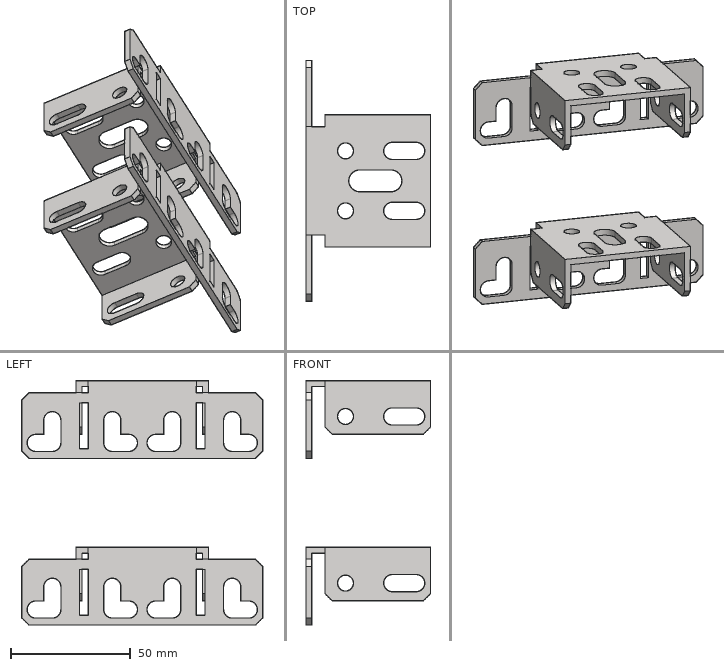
import cadquery as cq

total_height = 102.1
depth = 52.0
plate_width = 100.5
bracket_height = 32.6
sheet = 2.6
corner = 3.1

web_width = 55.3
neck_width = 45.2
flange_start = 8.0
flange_height = 22.5

wing_drop = 5.0
relief_width = 3.5
relief_top = 9.3
relief_bottom = 28.4

key_width = 7.0
key_spacing = 25.0
key_top = 16.5
key_elbow = 26.0
key_reach = 6.9

hole_diameter = 6.5
hole_x = 16.5
slot_x = 41.0
slot_length = 17.0
slot_width = 7.0
hole_spacing = 25.0
flange_hole_depth = 15.0
center_slot_x = 29.0
center_slot_length = 22.0
center_slot_width = 9.0

bracket_count = 2
bracket_pitch = (total_height - bracket_height) / (bracket_count - 1)


def make_web():
    """Horizontal sheet with a narrow neck reaching the mounting plate."""
    wide_length = depth - flange_start
    wide = cq.Workplane("XY").box(wide_length, web_width, sheet, centered=(False, True, False))
    neck = cq.Workplane("XY").box(depth, neck_width, sheet, centered=(False, True, False))
    return wide.translate((flange_start, 0, 0)).union(neck).translate((0, 0, -sheet))


def make_side_flanges():
    """Two downturned flanges with chamfered lower corners."""
    length = depth - flange_start
    flange = (
        cq.Workplane("XY")
        .box(length, sheet, flange_height, centered=(False, True, False))
        .edges("|Y and <Z")
        .chamfer(corner)
        .translate((flange_start, 0, -flange_height))
    )
    offset = (web_width - sheet) / 2
    return flange.translate((0, offset, 0)).union(flange.translate((0, -offset, 0)))


def make_mounting_plate():
    """Upright plate with chamfered wings and a middle tab rising to the web."""
    plate = (
        cq.Workplane("XY")
        .box(sheet, plate_width, bracket_height - wing_drop, centered=(False, True, False))
        .edges("|X")
        .chamfer(corner)
    )
    tab = cq.Workplane("XY").box(sheet, neck_width, bracket_height, centered=(False, True, False))
    return plate.union(tab).translate((0, 0, -bracket_height))


def web_cutter():
    """Two rows of a round hole and a slot, with a larger slot between them."""
    rows = [-hole_spacing / 2, hole_spacing / 2]
    return (
        cq.Workplane("XY", origin=(0, 0, -sheet))
        .pushPoints([(hole_x, y) for y in rows])
        .circle(hole_diameter / 2)
        .extrude(sheet)
        .pushPoints([(slot_x, y) for y in rows])
        .slot2D(slot_length, slot_width)
        .extrude(sheet)
        .pushPoints([(center_slot_x, 0)])
        .slot2D(center_slot_length, center_slot_width)
        .extrude(sheet)
    )


def flange_cutter():
    """A round hole and a slot through both side flanges."""
    return (
        cq.Workplane("XZ", origin=(0, web_width / 2, 0))
        .pushPoints([(hole_x, -flange_hole_depth)])
        .circle(hole_diameter / 2)
        .extrude(web_width)
        .pushPoints([(slot_x, -flange_hole_depth)])
        .slot2D(slot_length, slot_width)
        .extrude(web_width)
    )


def keyhole_cutter(y, direction):
    """L-shaped opening at y whose side arm points along direction (+1 or -1) in Y."""
    rise = key_elbow - key_top
    upright = (
        cq.Workplane("YZ")
        .center(y, -(key_top + key_elbow) / 2)
        .slot2D(rise + key_width, key_width, 90)
        .extrude(sheet)
    )
    side_arm = (
        cq.Workplane("YZ")
        .center(y + direction * key_reach / 2, -key_elbow)
        .slot2D(key_reach + key_width, key_width)
        .extrude(sheet)
    )
    return upright.union(side_arm)


def relief_cutter():
    """Narrow upright slots whose inner sides line up with the neck."""
    offset = (neck_width + relief_width) / 2
    middle = -(relief_top + relief_bottom) / 2
    return (
        cq.Workplane("YZ")
        .pushPoints([(-offset, middle), (offset, middle)])
        .rect(relief_width, relief_bottom - relief_top)
        .extrude(sheet)
    )


def make_bracket():
    """One folded sheet bracket."""
    bracket = make_web().union(make_side_flanges()).union(make_mounting_plate())
    bracket = bracket.cut(web_cutter()).cut(flange_cutter()).cut(relief_cutter())
    for side in (-1, 1):
        inner_y = side * key_spacing / 2
        outer_y = side * key_spacing * 3 / 2
        bracket = bracket.cut(keyhole_cutter(inner_y, -side))
        bracket = bracket.cut(keyhole_cutter(outer_y, side))
    return bracket.solids()


brackets = []
for level in range(bracket_count):
    bracket = make_bracket().translate((0, 0, -level * bracket_pitch))
    brackets.append(bracket)

result = cq.Compound.makeCompound([bracket.val() for bracket in brackets])